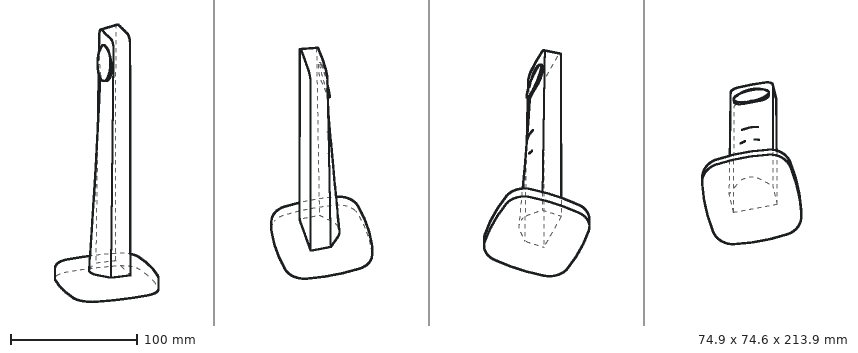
import cadquery as cq
import math

base_width = 74.9
base_depth = 74.6
base_height = 11.8
base_edge_radius = 3.2
corner_start = 21.5
side_bow = 1.6

total_height = 213.9
post_back = 13.7
foot_half_width = 17.8
foot_side_front = -2.8
foot_nose_half_width = 9.5
foot_shoulder_front = -10.3
foot_nose_front = -14.1
head_half_width = 17.1
head_side_front = -0.2
head_nose_half_width = 8.0
head_shoulder_front = -0.5
head_nose_front = -0.6

top_slope_drop = 2.4
top_corner_radius = 6.8

button_radius = 14.3
button_center_z = 187.2
button_center_y = -2.45
button_tilt = 7.5
button_depth = 5.3
button_clearance = 8.5


def make_base():
    half_x = base_width / 2
    half_y = base_depth / 2
    end_x = half_x - side_bow
    end_y = half_y - side_bow

    side_end_angle = 2 * math.atan(side_bow / corner_start)
    corner_radius = (end_x - corner_start) / (math.cos(side_end_angle) - math.sin(side_end_angle))
    center_offset = corner_start - corner_radius * math.sin(side_end_angle)
    corner_x = center_offset + corner_radius * math.sqrt(0.5)
    corner_y = corner_x - (half_x - half_y)

    outline = (
        cq.Workplane("XY")
        .moveTo(-corner_start, -end_y)
        .threePointArc((0, -half_y), (corner_start, -end_y))
        .threePointArc((corner_x, -corner_y), (end_x, -corner_start))
        .threePointArc((half_x, 0), (end_x, corner_start))
        .threePointArc((corner_x, corner_y), (corner_start, end_y))
        .threePointArc((0, half_y), (-corner_start, end_y))
        .threePointArc((-corner_x, corner_y), (-end_x, corner_start))
        .threePointArc((-half_x, 0), (-end_x, -corner_start))
        .threePointArc((-corner_x, -corner_y), (-corner_start, -end_y))
        .close()
    )
    return outline.extrude(base_height).faces(">Z").edges().fillet(base_edge_radius)


def post_section(plane, half_width, side_front, nose_half_width, shoulder_front, nose_front):
    """Draw a flat-backed section with slanted cheeks and a rounded nose."""
    return (
        plane.moveTo(-half_width, post_back)
        .lineTo(-half_width, side_front)
        .lineTo(-nose_half_width, shoulder_front)
        .threePointArc((0, nose_front), (nose_half_width, shoulder_front))
        .lineTo(half_width, side_front)
        .lineTo(half_width, post_back)
        .close()
    )


def make_post():
    foot = post_section(
        cq.Workplane("XY").workplane(offset=base_height),
        foot_half_width, foot_side_front, foot_nose_half_width, foot_shoulder_front, foot_nose_front,
    )
    column = post_section(
        foot.workplane(offset=total_height - base_height),
        head_half_width, head_side_front, head_nose_half_width, head_shoulder_front, head_nose_front,
    ).loft(ruled=True)

    slope = top_slope_drop / (post_back - head_side_front)
    front_y = foot_nose_front
    front_z = total_height - slope * (post_back - front_y)
    slice_block = (
        cq.Workplane("YZ")
        .polyline([(post_back, total_height), (front_y, front_z), (front_y, total_height)])
        .close()
        .extrude(foot_half_width, both=True)
    )
    column = column.cut(slice_block)

    return column.faces(">Z").edges("<X or >X").fillet(top_corner_radius)


def add_button(body):
    tilt = math.radians(button_tilt)
    button_plane = cq.Plane(
        origin=(0, button_center_y, button_center_z),
        xDir=(1, 0, 0),
        normal=(0, -math.cos(tilt), math.sin(tilt)),
    )
    front_space = cq.Workplane(button_plane).circle(button_radius).extrude(button_clearance)
    button = cq.Workplane(button_plane).circle(button_radius).extrude(-button_depth)
    return body.cut(front_space).union(button)


result = make_base().union(add_button(make_post()))